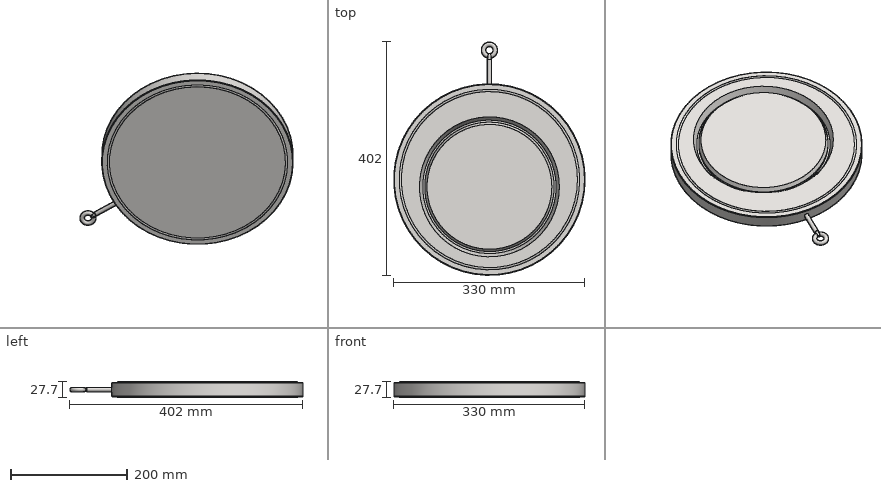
import cadquery as cq

TOTAL_LENGTH = 402.0
TOTAL_HEIGHT = 27.7

BODY_DIAMETER = 330.0
BODY_HEIGHT = 25.0
EDGE_CHAMFER = 1.2

SEAL_RING_RADIUS = 153.5
SEAL_CORD_RADIUS = 2.0

RECESS_OFFSET_Y = -12.5
RECESS_TOP_RADIUS = 120.5
RECESS_FLOOR_RADIUS = 115.0
RECESS_DEPTH = 13.0
FLAP_DIAMETER = 223.0
FLAP_TOP_DIAMETER = 215.0
FLAP_EDGE_HEIGHT = 7.2
FLAP_DROP = 1.5

ROD_DIAMETER = 8.0
ROD_EMBEDMENT = 16.0
NECK_DIAMETER = 7.0
NECK_WAIST_DIAMETER = 6.0
NECK_TIP_DIAMETER = 4.0
EYE_OUTER_RADIUS = 14.0
EYE_GAP_ANGLE = 32.0
ROD_END_TO_EYE = 15.5
NECK_TIP_TO_EYE = 5.5

BODY_RADIUS = BODY_DIAMETER / 2
BODY_TOP = BODY_HEIGHT / 2
SEAL_CENTER_Z = TOTAL_HEIGHT / 2 - SEAL_CORD_RADIUS
RECESS_FLOOR_Z = BODY_TOP - RECESS_DEPTH
FLAP_TOP_Z = BODY_TOP - FLAP_DROP
ROD_RADIUS = ROD_DIAMETER / 2
ROD_START_Y = BODY_RADIUS - ROD_EMBEDMENT
EYE_CENTER_Y = TOTAL_LENGTH - BODY_RADIUS - EYE_OUTER_RADIUS
EYE_PATH_RADIUS = EYE_OUTER_RADIUS - ROD_RADIUS


def make_body():
    """Flat disc with both rims chamfered."""
    disc = cq.Workplane("XY").workplane(offset=-BODY_TOP).circle(BODY_RADIUS).extrude(BODY_HEIGHT)
    return disc.faces("|Z").edges().chamfer(EDGE_CHAMFER)


def make_seal(center_z):
    """Round cord running in a circle around the body axis."""
    return (
        cq.Workplane("XZ")
        .center(SEAL_RING_RADIUS, center_z)
        .circle(SEAL_CORD_RADIUS)
        .revolve(360, (-SEAL_RING_RADIUS, 0), (-SEAL_RING_RADIUS, 1))
    )


def make_recess():
    """Cone frustum narrowing from the top face down to the recess floor."""
    return (
        cq.Workplane("XY", origin=(0, RECESS_OFFSET_Y, RECESS_FLOOR_Z))
        .circle(RECESS_FLOOR_RADIUS)
        .workplane(offset=RECESS_DEPTH)
        .circle(RECESS_TOP_RADIUS)
        .loft()
    )


def make_flap():
    """Low disc with a chamfered rim standing on the recess floor."""
    edge_inset = (FLAP_DIAMETER - FLAP_TOP_DIAMETER) / 2
    return (
        cq.Workplane("XY", origin=(0, RECESS_OFFSET_Y, RECESS_FLOOR_Z))
        .circle(FLAP_DIAMETER / 2)
        .extrude(FLAP_TOP_Z - RECESS_FLOOR_Z)
        .faces(">Z")
        .edges()
        .chamfer(FLAP_EDGE_HEIGHT, edge_inset)
    )


def make_rod():
    """Straight rod that starts inside the body, with a thinner pointed neck reaching into the eye."""
    neck_radius = NECK_DIAMETER / 2
    rod_end_y = EYE_CENTER_Y - ROD_END_TO_EYE
    neck_tip_y = EYE_CENTER_Y - NECK_TIP_TO_EYE
    neck_waist_y = (rod_end_y + neck_tip_y) / 2
    neck_waist_radius = NECK_WAIST_DIAMETER / 2
    return (
        cq.Workplane("XY")
        .moveTo(0, ROD_START_Y)
        .lineTo(ROD_RADIUS, ROD_START_Y)
        .lineTo(ROD_RADIUS, rod_end_y)
        .lineTo(neck_radius, rod_end_y)
        .threePointArc((neck_waist_radius, neck_waist_y), (NECK_TIP_DIAMETER / 2, neck_tip_y))
        .lineTo(0, neck_tip_y)
        .close()
        .revolve(360, (0, 0), (0, 1))
    )


def make_eye():
    """Round bar bent to an open ring, its gap facing the rod."""
    gap_center_angle = -90
    start_turn = gap_center_angle + EYE_GAP_ANGLE / 2
    ring = (
        cq.Workplane("XZ")
        .center(EYE_PATH_RADIUS, 0)
        .circle(ROD_RADIUS)
        .revolve(360 - EYE_GAP_ANGLE, (-EYE_PATH_RADIUS, 0), (-EYE_PATH_RADIUS, 1))
    )
    return ring.rotate((0, 0, 0), (0, 0, 1), start_turn).translate((0, EYE_CENTER_Y, 0))


result = make_body().cut(make_recess()).union(make_flap())
for seal_z in (SEAL_CENTER_Z, -SEAL_CENTER_Z):
    result = result.union(make_seal(seal_z))
result = result.union(make_rod()).union(make_eye())